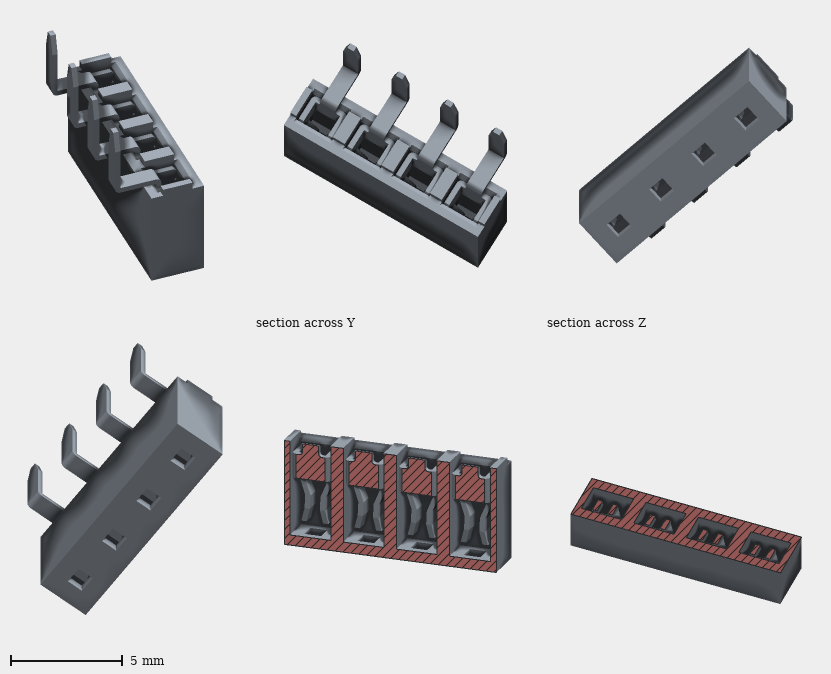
import cadquery as cq

contact_count = 4
row_length = 10.16
pitch = row_length / contact_count
housing_depth = 2.54
overall_depth = 3.94
overall_height = 8.0

ledge_height = 4.66
rib_height = 5.0
rib_depth = 1.41
pocket_width = 1.92
pocket_depth = rib_depth
mouth_depth = 1.82
mouth_drop = 0.18
floor_thickness = 0.51
entry_hole_size = 0.79

sheet = 0.25
contact_width = 1.79
contact_top = 4.42
contact_corner_radius = 0.23
arm_bottom = 3.25
arm_chamfer = 0.12
notch_depth = 0.12
notch_top = 4.06
notch_bottom = 3.8

finger_pinch_top = 2.24
finger_pinch_bottom = 1.63
finger_bottom = 1.02
finger_gap = 0.48
finger_flare = 0.15
finger_root_front = 0.11
finger_root_back = 0.55
finger_tip_front = -0.12
finger_tip_back = 0.64

tail_width = 0.8
tail_top = 4.96
tail_fillet = 0.14
tip_width = 0.33
tip_length = 0.94

pocket_front = -pocket_depth / 2
pocket_back = pocket_depth / 2
web_back = pocket_front + sheet
tail_bottom = tail_top - sheet
leg_front = housing_depth / 2 - overall_depth
leg_back = leg_front + sheet
arm_outer = contact_width / 2
arm_inner = arm_outer - sheet
contact_centres = [(i - (contact_count - 1) / 2) * pitch for i in range(contact_count)]


def box(x_range, y_range, z_range):
    """Axis-aligned box between the given limits."""
    size = [high - low for low, high in (x_range, y_range, z_range)]
    return cq.Workplane("XY").box(*size, centered=False).translate((x_range[0], y_range[0], z_range[0]))


def make_pocket():
    """Cavity for one contact: sloped front and back lips, straight walls and a square entry hole."""
    lip_bottom = ledge_height - mouth_drop
    outline = (
        cq.Workplane("YZ")
        .moveTo(pocket_front, floor_thickness)
        .lineTo(pocket_front, lip_bottom)
        .lineTo(-mouth_depth / 2, ledge_height)
        .lineTo(-mouth_depth / 2, rib_height)
        .lineTo(mouth_depth / 2, rib_height)
        .lineTo(mouth_depth / 2, ledge_height)
        .lineTo(pocket_back, lip_bottom)
        .lineTo(pocket_back, floor_thickness)
        .close()
    )
    cavity = outline.extrude(pocket_width / 2, both=True)
    hole = cq.Workplane("XY").rect(entry_hole_size, entry_hole_size).extrude(floor_thickness)
    return cavity.union(hole)


def make_housing():
    """Block with a raised middle band, which the pockets divide into separate ribs."""
    block = cq.Workplane("XY").rect(row_length, housing_depth).extrude(ledge_height)
    band = cq.Workplane("XY").rect(row_length, rib_depth).extrude(rib_height)
    housing = block.union(band)
    for x in contact_centres:
        housing = housing.cut(make_pocket().translate((x, 0, 0)))
    return housing


def make_contact_box():
    """Front web and two side arms, with chamfered and notched back edges on the arms."""
    height_range = (arm_bottom, contact_top)
    outside = box((-arm_outer, arm_outer), (pocket_front, pocket_back), height_range)
    outside = outside.edges("|Z and <Y").fillet(contact_corner_radius)
    outside = outside.edges(">Y and >Z").chamfer(arm_chamfer)
    inside = box((-arm_inner, arm_inner), (web_back, pocket_back), height_range)
    notch = (
        cq.Workplane("YZ")
        .polyline([
            (pocket_back, notch_top),
            (pocket_back - notch_depth, notch_bottom),
            (pocket_back, notch_bottom),
        ])
        .close()
        .extrude(arm_outer, both=True)
    )
    return outside.cut(inside).cut(notch)


def make_finger():
    """Right-hand spring finger: leans in to a straight pinch, flares out and widens downwards."""
    pinch_inner = finger_gap / 2
    flare_inner = pinch_inner + finger_flare
    bent_sheet = (
        cq.Workplane("XZ")
        .polyline([
            (arm_inner, arm_bottom),
            (pinch_inner, finger_pinch_top),
            (pinch_inner, finger_pinch_bottom),
            (flare_inner, finger_bottom),
            (flare_inner + sheet, finger_bottom),
            (pinch_inner + sheet, finger_pinch_bottom),
            (pinch_inner + sheet, finger_pinch_top),
            (arm_outer, arm_bottom),
        ])
        .close()
        .extrude(pocket_depth / 2, both=True)
    )
    trapezoid = (
        cq.Workplane("YZ")
        .polyline([
            (finger_root_front, arm_bottom),
            (finger_tip_front, finger_pinch_bottom),
            (finger_tip_front, finger_bottom),
            (finger_tip_back, finger_bottom),
            (finger_tip_back, finger_pinch_bottom),
            (finger_root_back, arm_bottom),
        ])
        .close()
        .extrude(arm_outer)
    )
    return bent_sheet.intersect(trapezoid)


def make_tail():
    """Strip rising from the web, bent forward over the housing and up into a tapered leg."""
    strip = (
        cq.Workplane("YZ")
        .moveTo(pocket_front, contact_top)
        .lineTo(web_back, contact_top)
        .lineTo(web_back, tail_bottom)
        .radiusArc((pocket_front, tail_top), -sheet)
        .lineTo(leg_back, tail_top)
        .lineTo(leg_back, overall_height)
        .lineTo(leg_front, overall_height)
        .lineTo(leg_front, tail_top)
        .radiusArc((leg_back, tail_bottom), -sheet)
        .lineTo(pocket_front, tail_bottom)
        .close()
        .extrude(tail_width / 2, both=True)
    )
    shoulder = overall_height - tip_length
    front_outline = (
        cq.Workplane("XZ")
        .polyline([
            (-tail_width / 2, contact_top),
            (-tail_width / 2, shoulder),
            (-tip_width / 2, overall_height),
            (tip_width / 2, overall_height),
            (tail_width / 2, shoulder),
            (tail_width / 2, contact_top),
        ])
        .close()
        .extrude(overall_depth, both=True)
    )
    return strip.intersect(front_outline)


def make_tail_root():
    """Concave fillet that blends the right side of the tail into the top of the web."""
    side = tail_width / 2
    return (
        cq.Workplane("XZ", origin=(0, web_back, 0))
        .moveTo(side, contact_top)
        .lineTo(side + tail_fillet, contact_top)
        .radiusArc((side, contact_top + tail_fillet), tail_fillet)
        .close()
        .extrude(sheet)
    )


def make_contact():
    contact = make_contact_box().union(make_tail())
    for right_half in (make_finger(), make_tail_root()):
        contact = contact.union(right_half).union(right_half.mirror("YZ"))
    return contact


result = make_housing()
for centre in contact_centres:
    result = result.union(make_contact().translate((centre, 0, 0)))